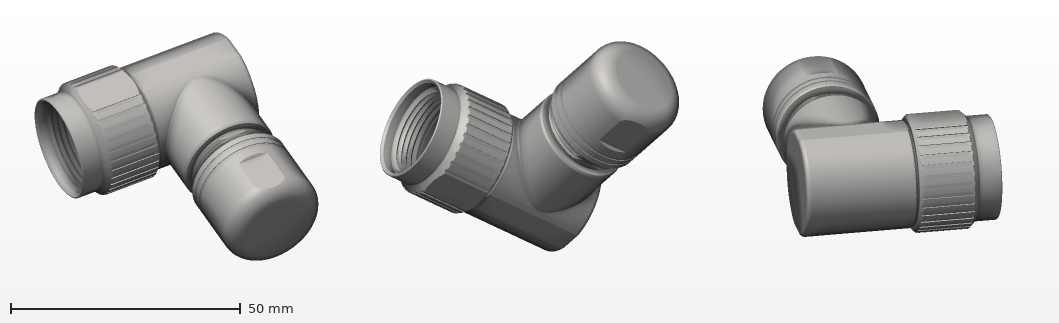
import cadquery as cq

body_radius = 11.8
body_flat_half_height = 11.5
body_back = 12.0
body_front = -12.7
body_back_round = 0.95
body_front_chamfer = 0.5
link_radius = 11.2

ring_radius = 13.0
ring_back = -12.95
ring_flat_half_height = 12.46
ring_back_chamfer = 0.65
knurl_front = -24.95
nose_radius = 11.55
nose_front = -31.4
nose_chamfer = 0.15
knurl_count = 36
knurl_groove_width = 0.9
knurl_groove_depth = 0.25

mouth_radius = 11.2
mouth_chamfer = 0.5
relief_radius = mouth_radius - mouth_chamfer
relief_depth = 2.6
socket_thread_root = 10.3
socket_thread_crest = 9.65
socket_thread_pitch = 1.3
socket_thread_turns = 5
chamber_radius = 9.0
chamber_floor = 6.15

key_inner_radius = 8.45
key_width = 3.7
key_length = 5.6

branch_radius = 11.05
branch_end = 20.4
branch_chamfer_length = 0.5
branch_chamfer_height = 0.3
blend_radius = 0.45
cable_bore_radius = 7.3
cable_bore_start = 8.2

neck_radius = 9.25
neck_thread_start = 21.1
neck_thread_pitch = 1.0
neck_thread_turns = 3
neck_thread_root = 9.4
neck_thread_crest = 9.95
neck_flat_half_height = 9.35

nut_start = 24.45
nut_end = 43.0
nut_radius = 11.55
nut_chamfer = 0.35
nut_round = 4.05
nut_groove_depth = 0.15
nut_grooves = ((26.1, 0.65), (27.95, 0.85))
nut_flat_half_height = 11.0
nut_flat_start = 31.35


def revolve_about_y(outline):
    """Revolve (radius, y) points about the Y axis."""
    return cq.Workplane("XY").polyline(outline).close().revolve(360, (0, 0), (0, 1))


def revolve_about_x(outline):
    """Revolve (x, radius) points about the X axis."""
    return cq.Workplane("XY").polyline(outline).close().revolve(360, (0, 0), (1, 0))


def slab(x_start, x_end, y_start, y_end, half_height):
    """Block symmetric about Z = 0, used to trim a pair of flats."""
    return (
        cq.Workplane("XY")
        .box(x_end - x_start, y_end - y_start, 2 * half_height, centered=(False, False, True))
        .translate((x_start, y_start, 0))
    )


def trim_flats(solid, half_height):
    """Cut flats on the +Z and -Z sides of a whole solid."""
    box = solid.val().BoundingBox()
    return solid.intersect(slab(box.xmin, box.xmax, box.ymin, box.ymax, half_height))


def housing():
    barrel = (
        cq.Workplane("XZ", origin=(0, body_back, 0))
        .circle(body_radius)
        .extrude(body_back - body_front)
    )
    barrel = barrel.faces(">Y").edges().fillet(body_back_round)
    barrel = barrel.faces("<Y").edges().chamfer(body_front_chamfer)
    branch = revolve_about_x([
        (0, 0),
        (0, branch_radius),
        (branch_end - branch_chamfer_length, branch_radius),
        (branch_end, branch_radius - branch_chamfer_height),
        (branch_end, 0),
    ])
    joined = barrel.union(branch)
    seam_box = cq.selectors.BoxSelector(
        (0.55, -branch_radius - 0.55, -branch_radius - 0.55),
        (branch_radius, branch_radius + 0.55, branch_radius + 0.55),
    )
    joined = joined.edges(seam_box).fillet(blend_radius)
    flats = slab(-body_radius, branch_end, body_front, body_back, body_flat_half_height)
    return joined.intersect(flats.edges(">Y and |X").fillet(body_back_round))


def coupling_ring():
    cone_length = ring_radius - nose_radius
    ring = revolve_about_y([
        (0, body_front),
        (link_radius, body_front),
        (link_radius, ring_back),
        (ring_radius - ring_back_chamfer, ring_back),
        (ring_radius, ring_back - ring_back_chamfer),
        (ring_radius, knurl_front),
        (nose_radius, knurl_front - cone_length),
        (nose_radius, nose_front + nose_chamfer),
        (nose_radius - nose_chamfer, nose_front),
        (0, nose_front),
    ])
    groove_floor = ring_radius - knurl_groove_depth
    groove = (
        cq.Workplane("XY")
        .box(2 * knurl_groove_depth, ring_back - nose_front, knurl_groove_width,
             centered=(False, False, True))
        .translate((groove_floor, nose_front, 0))
    )
    grooves = cq.Workplane("XY")
    for i in range(knurl_count):
        grooves = grooves.add(groove.rotate((0, 0, 0), (0, 1, 0), i * 360 / knurl_count))
    ring = ring.cut(cq.Compound.makeCompound(grooves.vals()))
    return trim_flats(ring, ring_flat_half_height)


def socket():
    """Volume removed from the mating end: mouth, thread and chamber."""
    outline = [
        (0, nose_front),
        (mouth_radius, nose_front),
        (relief_radius, nose_front + mouth_chamfer),
        (relief_radius, nose_front + relief_depth),
    ]
    thread_start = nose_front + relief_depth
    for turn in range(socket_thread_turns):
        root_y = thread_start + turn * socket_thread_pitch
        outline.append((socket_thread_crest, root_y + socket_thread_pitch / 2))
        if turn < socket_thread_turns - 1:
            outline.append((socket_thread_root, root_y + socket_thread_pitch))
    shoulder = thread_start + socket_thread_turns * socket_thread_pitch
    outline += [
        (socket_thread_crest, shoulder),
        (chamber_radius, shoulder),
        (chamber_radius, chamber_floor),
        (0, chamber_floor),
    ]
    key = (
        cq.Workplane("XZ", origin=(0, shoulder + key_length, 0))
        .circle(chamber_radius)
        .circle(key_inner_radius)
        .extrude(key_length)
        .intersect(slab(0, chamber_radius, shoulder, shoulder + key_length, key_width / 2))
    )
    return revolve_about_y(outline).cut(key)


def cable_bore():
    length = branch_end - cable_bore_start
    return cq.Workplane("YZ", origin=(cable_bore_start, 0, 0)).circle(cable_bore_radius).extrude(length)


def threaded_neck():
    outline = [
        (branch_end, 0),
        (branch_end, neck_radius),
        (neck_thread_start, neck_radius),
        (neck_thread_start, neck_thread_root),
    ]
    for turn in range(neck_thread_turns):
        root_x = neck_thread_start + turn * neck_thread_pitch
        outline.append((root_x + neck_thread_pitch / 2, neck_thread_crest))
        outline.append((root_x + neck_thread_pitch, neck_thread_root))
    outline += [(nut_start, neck_thread_root), (nut_start, 0)]
    return trim_flats(revolve_about_x(outline), neck_flat_half_height)


def gland_nut():
    outline = cq.Workplane("XY").moveTo(nut_start, 0).lineTo(nut_start, nut_radius - nut_chamfer)
    outline = outline.lineTo(nut_start + nut_chamfer, nut_radius)
    for start, width in nut_grooves:
        outline = (
            outline.lineTo(start, nut_radius)
            .lineTo(start, nut_radius - nut_groove_depth)
            .lineTo(start + width, nut_radius - nut_groove_depth)
            .lineTo(start + width, nut_radius)
        )
    nut = (
        outline.lineTo(nut_end - nut_round, nut_radius)
        .radiusArc((nut_end, nut_radius - nut_round), nut_round)
        .lineTo(nut_end, 0)
        .close()
        .revolve(360, (0, 0), (1, 0))
    )
    rise = 2 * (nut_radius - nut_flat_half_height)
    flat_cut = (
        cq.Workplane("XZ")
        .moveTo(nut_flat_start, nut_flat_half_height)
        .lineTo(nut_end, nut_flat_half_height)
        .lineTo(nut_end, nut_flat_half_height + rise)
        .lineTo(nut_flat_start - rise, nut_flat_half_height + rise)
        .close()
        .extrude(nut_radius, both=True)
    )
    return nut.cut(flat_cut).cut(flat_cut.mirror("XY"))


result = (
    housing()
    .union(coupling_ring())
    .union(threaded_neck())
    .union(gland_nut())
    .cut(cable_bore())
    .cut(socket())
)